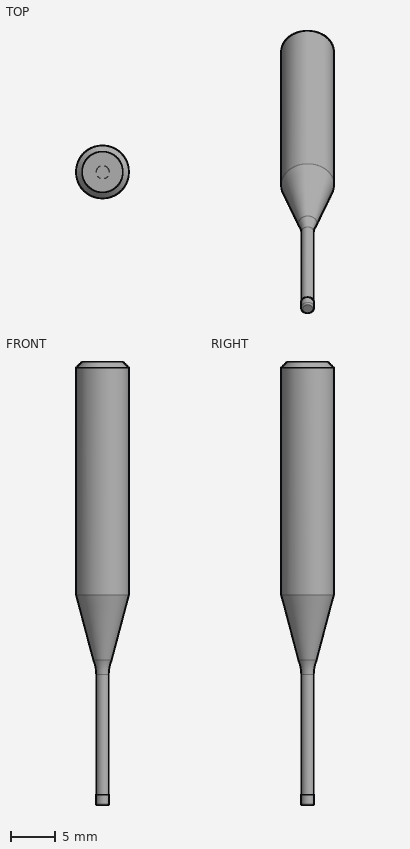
import cadquery as cq
import math

TOTAL_LENGTH = 50.0
SHANK_RADIUS = 3.0
SHANK_BOTTOM_Z = 23.75
SHANK_CHAMFER = 0.7

NECK_DIAMETER = 1.45
NECK_RADIUS = NECK_DIAMETER / 2
NECK_TOP_Z = 14.75
FLARE_HEIGHT = 1.65
FLARE_TOP_RADIUS = 1.05

TIP_RADIUS = 0.75
TIP_LENGTH = 1.2
TIP_CORNER_RADIUS = 0.2


def flare_midpoint():
    """Middle of the flare arc, which leaves the neck tangentially and widens upward."""
    flare_turn = 2 * math.atan((FLARE_TOP_RADIUS - NECK_RADIUS) / FLARE_HEIGHT)
    flare_radius = FLARE_HEIGHT / math.sin(flare_turn)
    half_turn = flare_turn / 2
    return (
        NECK_RADIUS + flare_radius * (1 - math.cos(half_turn)),
        NECK_TOP_Z + flare_radius * math.sin(half_turn),
    )


def make_holder():
    """Chamfered shank, taper, concave flare and slim neck, as one turned body."""
    return (
        cq.Workplane("XZ")
        .moveTo(0, TIP_LENGTH)
        .lineTo(NECK_RADIUS, TIP_LENGTH)
        .lineTo(NECK_RADIUS, NECK_TOP_Z)
        .threePointArc(flare_midpoint(), (FLARE_TOP_RADIUS, NECK_TOP_Z + FLARE_HEIGHT))
        .lineTo(SHANK_RADIUS, SHANK_BOTTOM_Z)
        .lineTo(SHANK_RADIUS, TOTAL_LENGTH - SHANK_CHAMFER)
        .lineTo(SHANK_RADIUS - SHANK_CHAMFER, TOTAL_LENGTH)
        .lineTo(0, TOTAL_LENGTH)
        .close()
        .revolve(360, (0, 0, 0), (0, 1, 0))
    )


def make_cutting_tip():
    """Cutting tip, slightly wider than the neck, with a rounded lower corner."""
    return (
        cq.Workplane("XY")
        .circle(TIP_RADIUS)
        .extrude(TIP_LENGTH)
        .faces("<Z")
        .edges()
        .fillet(TIP_CORNER_RADIUS)
    )


holder = make_holder()
cutting_tip = make_cutting_tip()

result = cq.Compound.makeCompound([holder.val(), cutting_tip.val()])